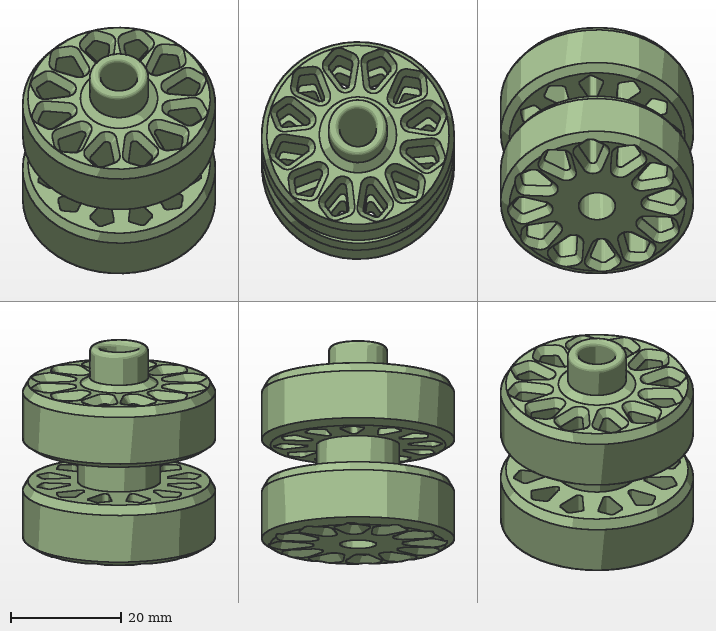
import cadquery as cq
import math

total_height = 36.9
disc_diameter = 35.0
disc_radius = disc_diameter / 2
bore_radius = 3.32

disc_height = 11.5
disc_gap = 6.97
top_bevel_width = 0.95
top_bevel_height = 1.7
bottom_bevel_width = 1.6
bottom_bevel_height = 1.05
hub_radius = 7.53
upper_disc_bottom = disc_height + disc_gap
upper_disc_top = upper_disc_bottom + disc_height

shoulder_radius = 7.0
shoulder_height = 1.0
collar_radius = 5.3
shoulder_top = upper_disc_top + shoulder_height
rim_round = (collar_radius - bore_radius) / 2
rim_start = total_height - rim_round

window_count = 12
kite_inner_radius = 8.05
kite_corner_radius = 13.73
kite_outer_radius = 15.5
kite_half_width = 2.35
window_corner_round = 0.7
flare_width = 1.1
flare_depth = 1.55
flare_angle = math.degrees(math.atan2(flare_width, flare_depth))


def add_disc(outline, bottom):
    """Continue an outline up one disc: shallow bevel at its bottom rim, steep one at its top rim."""
    top = bottom + disc_height
    return (
        outline.lineTo(disc_radius - bottom_bevel_width, bottom)
        .lineTo(disc_radius, bottom + bottom_bevel_height)
        .lineTo(disc_radius, top - top_bevel_height)
        .lineTo(disc_radius - top_bevel_width, top)
    )


def make_body():
    """Discs, hub, shoulder and collar turned around the through bore as one section."""
    outline = cq.Workplane("XZ").moveTo(bore_radius, 0)
    outline = add_disc(outline, 0)
    outline = outline.lineTo(hub_radius, disc_height).lineTo(hub_radius, upper_disc_bottom)
    outline = add_disc(outline, upper_disc_bottom)
    return (
        outline.lineTo(shoulder_radius, upper_disc_top)
        .lineTo(collar_radius, shoulder_top)
        .lineTo(collar_radius, rim_start)
        .radiusArc((bore_radius + rim_round, total_height), -rim_round)
        .radiusArc((bore_radius, rim_start), -rim_round)
        .close()
        .revolve(360, (0, 0), (0, 1))
    )


def extrude_window(start, length, taper=0):
    """Prism on one kite-shaped window with rounded corners, starting at height start."""
    kite = (
        cq.Sketch()
        .polygon([
            (kite_inner_radius, 0),
            (kite_corner_radius, kite_half_width),
            (kite_outer_radius, 0),
            (kite_corner_radius, -kite_half_width),
            (kite_inner_radius, 0),
        ])
        .vertices()
        .fillet(window_corner_round)
    )
    return cq.Workplane("XY", origin=(0, 0, start)).placeSketch(kite).extrude(length, taper=taper)


def make_window():
    """Window through both discs, flared out towards the two outer faces."""
    shaft = extrude_window(0, upper_disc_top)
    top_flare = extrude_window(upper_disc_top - flare_depth, flare_depth, -flare_angle)
    bottom_flare = top_flare.mirror("XY", (0, 0, upper_disc_top / 2))
    return shaft.union(top_flare).union(bottom_flare)


result = make_body()
window = make_window()
for index in range(window_count):
    angle = index * 360 / window_count
    result = result.cut(window.rotate((0, 0, 0), (0, 0, 1), angle))